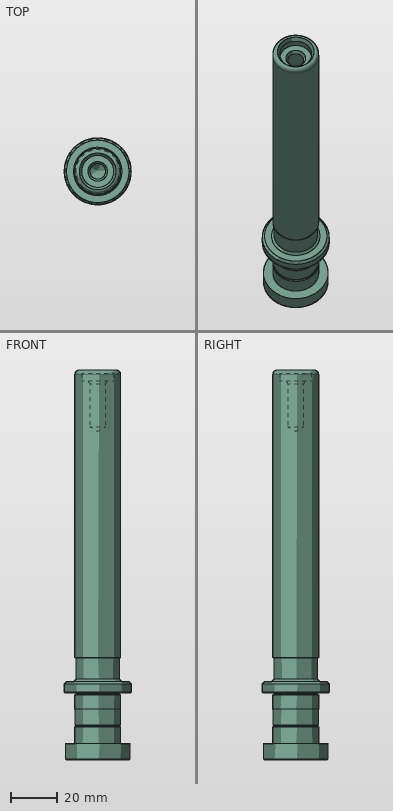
import cadquery as cq

total_height = 169.0

disc_radius = 14.0
disc_height = 7.1
disc_chamfer = 0.5
foot_radius = 10.0
foot_height = 14.7
joint_chamfer = 0.5

shaft_radius = 10.0
shaft_bottom = 44.5
shaft_edge_drop = 0.3
rim_fillet = 2.0
neck_radius = 9.5
collar_radius = 14.5
collar_bottom = 28.9
collar_top = 34.0
collar_top_chamfer = 1.0
collar_bottom_chamfer = 0.5
flare_radius = 10.5
flare_height = 1.0
seat_radius = shaft_radius
relief_radius = 9.5
relief_height = 0.8
lead_radius = 9.94
lead_top = 22.0

recess_radius = 7.0
recess_depth = 4.7
recess_mouth_radius = shaft_radius - rim_fillet
recess_cone_depth = 1.7
hole_radius = 3.4
hole_mouth_radius = 4.2
hole_mouth_depth = 1.4
hole_depth = 20.0
hole_tip_depth = 2.0


def revolve_about_z(profile):
    """Turn a closed XZ profile a full circle about the Z axis."""
    return profile.close().revolve(360, (0, 0, 0), (0, 1, 0))


def make_foot():
    profile = (
        cq.Workplane("XZ")
        .lineTo(disc_radius - disc_chamfer, 0)
        .lineTo(disc_radius, disc_chamfer)
        .lineTo(disc_radius, disc_height)
        .lineTo(foot_radius, disc_height)
        .lineTo(foot_radius, foot_height - joint_chamfer)
        .lineTo(foot_radius - joint_chamfer, foot_height)
        .lineTo(0, foot_height)
    )
    return revolve_about_z(profile)


def make_pin_blank():
    profile = (
        cq.Workplane("XZ")
        .moveTo(0, foot_height)
        .lineTo(lead_radius - joint_chamfer, foot_height)
        .lineTo(lead_radius, foot_height + joint_chamfer)
        .lineTo(lead_radius, lead_top)
        .lineTo(seat_radius, lead_top)
        .lineTo(seat_radius, collar_bottom - relief_height)
        .lineTo(relief_radius, collar_bottom - relief_height / 2)
        .lineTo(relief_radius, collar_bottom)
        .lineTo(collar_radius - collar_bottom_chamfer, collar_bottom)
        .lineTo(collar_radius, collar_bottom + collar_bottom_chamfer)
        .lineTo(collar_radius, collar_top - collar_top_chamfer)
        .lineTo(collar_radius - collar_top_chamfer, collar_top)
        .lineTo(flare_radius, collar_top)
        .lineTo(neck_radius, collar_top + flare_height)
        .lineTo(neck_radius, shaft_bottom - shaft_edge_drop)
        .lineTo(shaft_radius, shaft_bottom)
        .lineTo(shaft_radius, total_height - rim_fillet)
        .radiusArc((shaft_radius - rim_fillet, total_height), -rim_fillet)
        .lineTo(0, total_height)
    )
    return revolve_about_z(profile)


def make_top_bore():
    """Cutter: conical mouth, round recess, then a chamfered hole with a drill point."""
    recess_floor = total_height - recess_depth
    hole_bottom = recess_floor - hole_depth
    profile = (
        cq.Workplane("XZ")
        .moveTo(0, total_height)
        .lineTo(recess_mouth_radius, total_height)
        .lineTo(recess_radius, total_height - recess_cone_depth)
        .lineTo(recess_radius, recess_floor)
        .lineTo(hole_mouth_radius, recess_floor)
        .lineTo(hole_radius, recess_floor - hole_mouth_depth)
        .lineTo(hole_radius, hole_bottom)
        .lineTo(0, hole_bottom - hole_tip_depth)
    )
    return revolve_about_z(profile)


foot = make_foot()
pin = make_pin_blank().cut(make_top_bore())

result = cq.Compound.makeCompound([foot.val(), pin.val()])